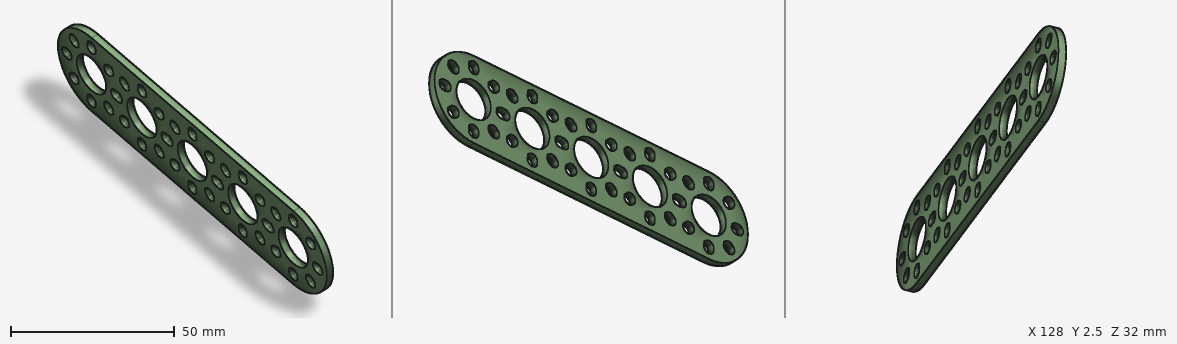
import cadquery as cq
import math

length = 128.0
width = 32.0
thickness = 2.5

bore_count = 5
bore_diameter = 14.0
bore_spacing = (length - width) / (bore_count - 1)

ring_slot_count = 8
slot_width = width / 8
slot_inner_radius = width / 2 / math.sqrt(2)
slot_outer_radius = bore_spacing / 2
slot_length = slot_outer_radius - slot_inner_radius + slot_width
ring_radius = (slot_inner_radius + slot_outer_radius) / 2


def make_plate():
    """Flat bar with fully rounded ends, centred on the origin."""
    return cq.Workplane("XZ").slot2D(length, width).extrude(thickness / 2, both=True)


def bore_cutter():
    """Cylinder through the full plate thickness, centred on the Y axis."""
    return cq.Workplane("XZ").circle(bore_diameter / 2).extrude(thickness / 2, both=True)


def ring_cutters():
    """Through slots evenly spaced around the Y axis, each pointing at the axis."""
    return (
        cq.Workplane("XZ")
        .polarArray(ring_radius, 0, 360, ring_slot_count)
        .slot2D(slot_length, slot_width)
        .extrude(thickness / 2, both=True)
    )


result = make_plate()

for index in range(bore_count):
    bore_x = (index - (bore_count - 1) / 2) * bore_spacing
    result = result.cut(bore_cutter().translate((bore_x, 0, 0)))
    result = result.cut(ring_cutters().translate((bore_x, 0, 0)))